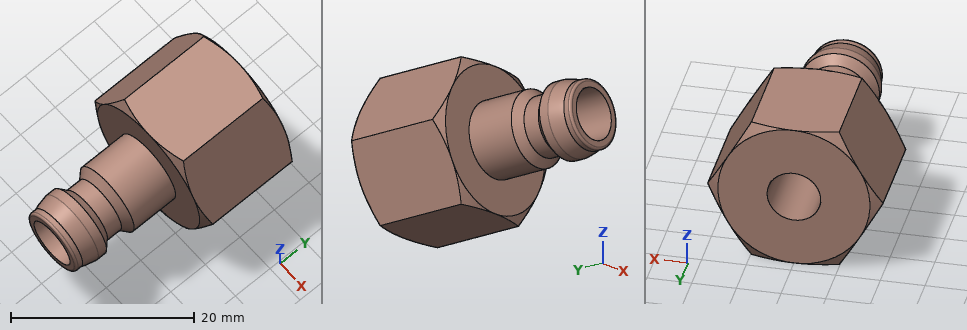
import cadquery as cq
import math

total_length = 27.0
hex_length = 13.01
across_flats = 17.0
across_corners = across_flats / math.cos(math.radians(30))
corner_chamfer_angle = 30.0

plug_radius = 4.48
groove_radius = 3.5
tip_radius = 4.0
bore_radius = 3.0
tip_fillet = 0.3
taper_bulge = 0.05

plug_length = total_length - hex_length
shank_length = 6.0
groove_start = 7.0
groove_end = 9.02
collar_start = 10.0
collar_end = 11.18
tip_start = 13.05


def hexagon():
    """Hexagonal body with both ends turned to a 30 degree chamfer."""
    prism = cq.Workplane("XZ").polygon(6, across_corners).extrude(-hex_length)
    flat_radius = across_flats / 2
    corner_radius = across_corners / 2
    drop = (corner_radius - flat_radius) * math.tan(math.radians(corner_chamfer_angle))
    envelope = (
        cq.Workplane("XY")
        .polyline([
            (0, 0),
            (flat_radius, 0),
            (corner_radius, drop),
            (corner_radius, hex_length - drop),
            (flat_radius, hex_length),
            (0, hex_length),
        ])
        .close()
        .revolve(360, (0, 0), (0, 1))
    )
    return prism.intersect(envelope)


def plug():
    """Turned plug with a locking groove, a collar, a slightly convex taper and a rounded tip."""
    root_overlap = 0.27
    taper_middle = (
        (plug_radius + tip_radius) / 2 + taper_bulge,
        -(collar_end + tip_start) / 2,
    )
    fillet_inset = tip_fillet * (1 - math.sqrt(0.5))
    return (
        cq.Workplane("XY")
        .moveTo(0, root_overlap)
        .lineTo(plug_radius, root_overlap)
        .lineTo(plug_radius, -shank_length)
        .lineTo(groove_radius, -groove_start)
        .lineTo(groove_radius, -groove_end)
        .lineTo(plug_radius, -collar_start)
        .lineTo(plug_radius, -collar_end)
        .threePointArc(taper_middle, (tip_radius, -tip_start))
        .lineTo(tip_radius, -plug_length + tip_fillet)
        .threePointArc(
            (tip_radius - fillet_inset, -plug_length + fillet_inset),
            (tip_radius - tip_fillet, -plug_length),
        )
        .lineTo(0, -plug_length)
        .close()
        .revolve(360, (0, 0), (0, 1))
    )


bore = cq.Workplane("XZ", origin=(0, hex_length, 0)).circle(bore_radius).extrude(total_length)

result = hexagon().union(plug()).cut(bore)